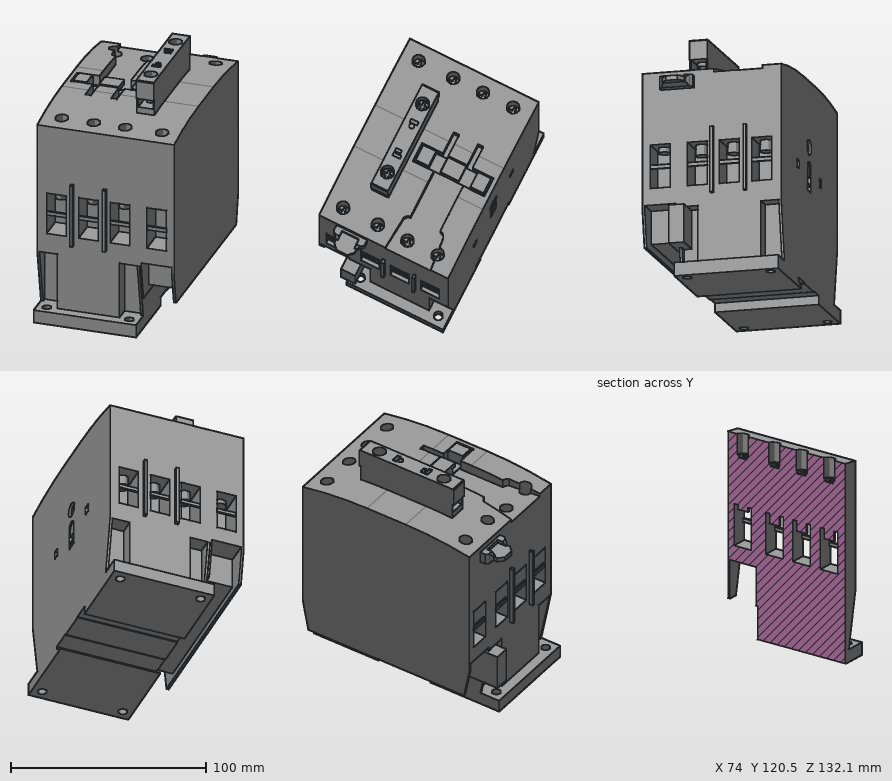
import cadquery as cq


HOUSING_WIDTH = 74.0
HOUSING_HALF_DEPTH = 51.75
HOUSING_TOP = 113.8
HOUSING_EDGE_TOP = 110.0
FLAT_HALF_DEPTH = 12.0

BASE_WIDTH = 55.4
BASE_HALF_DEPTH = 57.5
BASE_HEIGHT = 7.1
BASE_HOLE_DIAMETER = 4.6
BASE_HOLE_EDGE = 5.4
OVERHANG_BOTTOM = 22.4
OVERHANG_CHEEK_BOTTOM = 18.5
CHEEK_THICKNESS = 1.3
INNER_CHEEK_THICKNESS = 1.0
OVERHANG_RECESS_TOP = 40.0
OVERHANG_SLOPE_TOP = 36.0
OVERHANG_FOOT_HALF_DEPTH = 46.2
OVERHANG_RECESS_BACK = 40.0

CORNER_RECESS_BACK = 43.5
CORNER_RECESS_WIDTH = 9.6
CORNER_RECESS_TOP = 38.0
WEB_FOOT_HALF_DEPTH = 45.8

RAIL_DEPTH = 4.7
RAIL_PLAIN_Y = -17.5
RAIL_HOOK_Y = 19.6
RAIL_LIP_Y = 14.7
RAIL_LIP_THICKNESS = 0.6
RAIL_HOOK_FLOOR = 3.2
RAIL_PAD_HALF_DEPTH = 8.1
RAIL_PAD_HEIGHT = 0.5

POLE_XS = (10.4, 27.7, 44.7, 64.6)
SHORT_SCREW_POLE_X = POLE_XS[-1]
TERMINAL_SCREW_Y = 43.0
SCREW_BORE_DIAMETER = 6.6
SCREW_HEAD_DROP = 10.0
SCREW_TIP_DIAMETER = 6.3
SCREW_TIP_BOTTOM = 66.3
SHORT_SCREW_TIP_BOTTOM = 69.3
CROSS_LENGTH = 4.8
CROSS_WIDTH = 1.4
CROSS_DEPTH = 1.5
WINDOW_WIDTH = 10.6
WINDOW_BOTTOM = 48.9
WINDOW_TOP = 71.9
WINDOW_DEPTH = 14.0
CLAMP_BAR_BOTTOM = 59.3
CLAMP_BAR_TOP = 61.3
CLAMP_BAR_DEPTH = 1.0
CLAMP_BAR_SETBACK = 0.3

BARRIER_SPANS = ((18.4, 19.7), (35.9, 37.5))
BARRIER_BOTTOM = 44.3
BARRIER_TOP = 79.0
BARRIER_PROJECTION = 2.1

CHANNEL_CENTER_X = 23.0
CHANNEL_FLOOR = 108.3
CHANNEL_HALF_WIDTH = 8.5
CHANNEL_SHOULDER_HALF_WIDTH = 11.4
CHANNEL_MOUTH_HALF_WIDTH = 13.0
CHANNEL_NECK_Y = 31.8
CHANNEL_SHOULDER_Y = 33.9
CHANNEL_BEND_HALF_WIDTH = 10.4
CHANNEL_BEND_Y = 32.6
FRAME_HALF_WIDTH = 20.5
FRAME_FRONT_Y = -5.0
FRAME_BACK_Y = 5.5
FRAME_GROOVE_DEPTH = 1.0
PLATE_HALF_DEPTH = 4.45
PLATE_RISE = 0.4
SIDE_PLATE_INNER = 12.0
SIDE_PLATE_OUTER = 19.5
MIDDLE_PLATE_HALF_WIDTH = 5.3
MIDDLE_PLATE_THICKNESS = 2.4
MIDDLE_STEM_HALF_WIDTH = 2.8
WELL_FLOOR = CHANNEL_FLOOR - 0.3
LEG_WIDTH = 3.1
LEG_FRONT_Y = -17.4

AUX_LEFT = 46.0
AUX_RIGHT = 55.5
AUX_CENTER_X = (AUX_LEFT + AUX_RIGHT) / 2
AUX_TOP = 132.1
AUX_STEP_Z = 121.8
AUX_HALF_DEPTH = 29.3
AUX_STEP = 1.0
AUX_CHAMFER = 0.5
AUX_EMBED = 1.0
AUX_WINDOW_WIDTH = 8.0
AUX_WINDOW_BOTTOM = 116.6
AUX_WINDOW_DEPTH = 13.0
AUX_SCREW_Y = 20.0
AUX_BORE_DIAMETER = 6.9
AUX_BORE_DEPTH = 7.0
AUX_HEAD_DIAMETER = 6.2
AUX_HEAD_HEIGHT = 0.5
AUX_SCREW_COLLAR_BOTTOM = 119.7
AUX_SCREW_COLLAR_DIAMETER = 6.0
AUX_SCREW_SHANK_DIAMETER = 3.9
MARK_DEPTH = 0.4
AUX_MARKS = (
    (50.3, 10.1, 4.3, 1.7),
    (50.8, 7.5, 3.2, 1.7),
    (50.3, -9.5, 4.3, 1.9),
)
AUX_DOT = (50.5, -7.1)
AUX_DOT_DIAMETER = 2.7

SIDE_DISC_Z = 78.8
SIDE_DISC_DIAMETER = 7.9
SIDE_POCKET_DEPTH = 1.5
SIDE_LATCH_Y = 20.6
SIDE_LATCH_Z = 64.9
SIDE_LATCH_WIDTH = 3.6
SIDE_LATCH_HEIGHT = 4.2
SIDE_SLOT_WIDTH = 6.1
SIDE_SLOT_BOTTOM = 55.5
SIDE_SLOT_TOP = 71.0
SIDE_SLOT_SHALLOW_DEPTH = 0.7
SIDE_SLOT_DEEP_DEPTH = 5.0
SIDE_SLOT_DEEP_TOP = 63.4
SIDE_SLOT_BAR_BOTTOM = 58.5
SIDE_SLOT_BAR_TOP = 60.0

COIL_CENTER_X = 55.2
COIL_CENTER_Z = 103.7
COIL_HALF_WIDTH = 8.8
COIL_HALF_HEIGHT = 3.1
COIL_BLOCK_BACK = 56.2
COIL_CORNER = 1.4
COIL_TAPER_BACK = 58.2
COIL_TIP_Y = 63.0
COIL_TONGUE_HALF_WIDTH = 5.9
COIL_TONGUE_HALF_THICKNESS = 1.2
COIL_TONGUE_CORNER = 2.9
COIL_SLOT_HALF_WIDTH = 4.8
COIL_SLOT_FRONT = 53.2

RELEASE_LEFT = 50.0
RELEASE_RIGHT = 58.1
RELEASE_BACK = 58.3
RELEASE_BOTTOM = 17.4
RELEASE_TOP = 37.6

BOTH_ENDS = (-1, 1)


def box(x0, x1, y0, y1, z0, z1):
    """Box between two corners, whichever order each pair is given in."""
    size = (abs(x1 - x0), abs(y1 - y0), abs(z1 - z0))
    corner = cq.Vector(min(x0, x1), min(y0, y1), min(z0, z1))
    return cq.Workplane(obj=cq.Solid.makeBox(*size, corner))


def rod(x, y, z0, z1, diameter):
    """Vertical cylinder from z0 up to z1."""
    return cq.Workplane(obj=cq.Solid.makeCylinder(diameter / 2, z1 - z0, cq.Vector(x, y, z0)))


def cross(x, y, top):
    """Cross-shaped driver recess below a screw head."""
    half_length = CROSS_LENGTH / 2
    half_width = CROSS_WIDTH / 2
    bottom = top - CROSS_DEPTH
    along_x = box(x - half_length, x + half_length, y - half_width, y + half_width, bottom, top)
    along_y = box(x - half_width, x + half_width, y - half_length, y + half_length, bottom, top)
    return along_x.union(along_y)


def crown_height(y):
    """Height of the crowned top at a distance y from the centre plane."""
    run = HOUSING_HALF_DEPTH - FLAT_HALF_DEPTH
    drop = HOUSING_TOP - HOUSING_EDGE_TOP
    radius = (run**2 + drop**2) / (2 * drop)
    return HOUSING_TOP - radius + (radius**2 - (abs(y) - FLAT_HALF_DEPTH) ** 2) ** 0.5


def make_housing():
    """Crowned housing with its base flange, extruded along X."""
    crown_mid_y = (FLAT_HALF_DEPTH + HOUSING_HALF_DEPTH) / 2
    housing = (
        cq.Workplane("YZ")
        .moveTo(-HOUSING_HALF_DEPTH, 0)
        .lineTo(-HOUSING_HALF_DEPTH, HOUSING_EDGE_TOP)
        .threePointArc((-crown_mid_y, crown_height(crown_mid_y)), (-FLAT_HALF_DEPTH, HOUSING_TOP))
        .lineTo(FLAT_HALF_DEPTH, HOUSING_TOP)
        .threePointArc((crown_mid_y, crown_height(crown_mid_y)), (HOUSING_HALF_DEPTH, HOUSING_EDGE_TOP))
        .lineTo(HOUSING_HALF_DEPTH, 0)
        .close()
        .extrude(HOUSING_WIDTH)
    )
    cheek_left = HOUSING_WIDTH - CHEEK_THICKNESS
    inner_cheek_right = BASE_WIDTH + INNER_CHEEK_THICKNESS
    d = HOUSING_HALF_DEPTH
    housing = housing.cut(box(BASE_WIDTH, HOUSING_WIDTH, -d, d, 0, OVERHANG_CHEEK_BOTTOM))
    housing = housing.cut(box(inner_cheek_right, cheek_left, -d, d, OVERHANG_CHEEK_BOTTOM, OVERHANG_BOTTOM))
    return housing.union(box(0, BASE_WIDTH, -BASE_HALF_DEPTH, BASE_HALF_DEPTH, 0, BASE_HEIGHT))


def slope_wedge(x0, x1, front, foot, top):
    """Triangular wedge that slopes an end face from its top back to a foot at base level."""
    profile = [(front, top), (front, BASE_HEIGHT), (foot, BASE_HEIGHT)]
    return cq.Workplane("YZ", origin=(x0, 0, 0)).polyline(profile).close().extrude(x1 - x0)


def cut_lower_end(body, end):
    """Corner recesses, sloped webs and overhang recess at one end (end = -1 or 1)."""
    front = end * HOUSING_HALF_DEPTH
    recess_back = end * CORNER_RECESS_BACK
    left_inner = CHEEK_THICKNESS + CORNER_RECESS_WIDTH
    right_outer = BASE_WIDTH - CHEEK_THICKNESS
    right_inner = right_outer - CORNER_RECESS_WIDTH
    for x0, x1 in ((CHEEK_THICKNESS, left_inner), (right_inner, right_outer)):
        body = body.cut(box(x0, x1, recess_back, front, BASE_HEIGHT, CORNER_RECESS_TOP))

    cheek_left = HOUSING_WIDTH - CHEEK_THICKNESS
    inner_cheek_right = BASE_WIDTH + INNER_CHEEK_THICKNESS
    overhang_back = end * OVERHANG_RECESS_BACK
    body = body.cut(
        box(inner_cheek_right, cheek_left, overhang_back, front, OVERHANG_BOTTOM, OVERHANG_RECESS_TOP)
    )

    web_foot = end * WEB_FOOT_HALF_DEPTH
    overhang_foot = end * OVERHANG_FOOT_HALF_DEPTH
    body = body.cut(slope_wedge(0, CHEEK_THICKNESS, front, web_foot, CORNER_RECESS_TOP))
    body = body.cut(slope_wedge(right_outer, BASE_WIDTH, front, web_foot, CORNER_RECESS_TOP))
    return body.cut(slope_wedge(BASE_WIDTH, HOUSING_WIDTH, front, overhang_foot, OVERHANG_SLOPE_TOP))


def cut_base(body):
    """Mounting holes and the hooked DIN rail notch."""
    hole_y = BASE_HALF_DEPTH - BASE_HOLE_EDGE
    for x in (BASE_HOLE_EDGE, BASE_WIDTH - BASE_HOLE_EDGE):
        for end in BOTH_ENDS:
            body = body.cut(rod(x, end * hole_y, 0, BASE_HEIGHT, BASE_HOLE_DIAMETER))
    notch = (
        cq.Workplane("YZ")
        .polyline(
            [
                (RAIL_PLAIN_Y, 0),
                (RAIL_LIP_Y, 0),
                (RAIL_LIP_Y, RAIL_LIP_THICKNESS),
                (RAIL_HOOK_Y, RAIL_HOOK_FLOOR),
                (RAIL_HOOK_Y, RAIL_DEPTH),
                (RAIL_PLAIN_Y, RAIL_DEPTH),
            ]
        )
        .close()
        .extrude(BASE_WIDTH)
    )
    pad_bottom = RAIL_DEPTH - RAIL_PAD_HEIGHT
    pad = box(0, BASE_WIDTH, -RAIL_PAD_HALF_DEPTH, RAIL_PAD_HALF_DEPTH, pad_bottom, RAIL_DEPTH)
    return body.cut(notch).union(pad)


def add_terminal(body, x, end):
    """Screw bore, driver cross, wiring window, screw tip and clamp bar of one terminal."""
    y = end * TERMINAL_SCREW_Y
    head_top = HOUSING_EDGE_TOP - SCREW_HEAD_DROP
    body = body.cut(rod(x, y, head_top, HOUSING_TOP, SCREW_BORE_DIAMETER))
    body = body.cut(cross(x, y, head_top))

    front = end * HOUSING_HALF_DEPTH
    left = x - WINDOW_WIDTH / 2
    right = x + WINDOW_WIDTH / 2
    body = body.cut(box(left, right, front, front - end * WINDOW_DEPTH, WINDOW_BOTTOM, WINDOW_TOP))
    tip_bottom = SHORT_SCREW_TIP_BOTTOM if x == SHORT_SCREW_POLE_X else SCREW_TIP_BOTTOM
    body = body.union(rod(x, y, tip_bottom, WINDOW_TOP, SCREW_TIP_DIAMETER))
    bar_front = front - end * CLAMP_BAR_SETBACK
    bar_back = bar_front - end * CLAMP_BAR_DEPTH
    return body.union(box(left, right, bar_front, bar_back, CLAMP_BAR_BOTTOM, CLAMP_BAR_TOP))


def add_barriers(body, end):
    """Phase barriers standing out of one end face."""
    front = end * HOUSING_HALF_DEPTH
    tip = front + end * BARRIER_PROJECTION
    for x0, x1 in BARRIER_SPANS:
        body = body.union(box(x0, x1, front, tip, BARRIER_BOTTOM, BARRIER_TOP))
    return body


def add_indicator(body):
    """Channel open at +Y, framed plates and the two leg slots in the top."""
    cx = CHANNEL_CENTER_X
    channel_height = HOUSING_TOP - CHANNEL_FLOOR
    bend_x = CHANNEL_BEND_HALF_WIDTH
    bend_y = CHANNEL_BEND_Y
    channel = (
        cq.Workplane("XY", origin=(cx, 0, CHANNEL_FLOOR))
        .moveTo(-CHANNEL_HALF_WIDTH, -PLATE_HALF_DEPTH)
        .lineTo(-CHANNEL_HALF_WIDTH, CHANNEL_NECK_Y)
        .threePointArc((-bend_x, bend_y), (-CHANNEL_SHOULDER_HALF_WIDTH, CHANNEL_SHOULDER_Y))
        .lineTo(-CHANNEL_MOUTH_HALF_WIDTH, HOUSING_HALF_DEPTH)
        .lineTo(CHANNEL_MOUTH_HALF_WIDTH, HOUSING_HALF_DEPTH)
        .lineTo(CHANNEL_SHOULDER_HALF_WIDTH, CHANNEL_SHOULDER_Y)
        .threePointArc((bend_x, bend_y), (CHANNEL_HALF_WIDTH, CHANNEL_NECK_Y))
        .lineTo(CHANNEL_HALF_WIDTH, -PLATE_HALF_DEPTH)
        .close()
        .extrude(channel_height)
    )
    groove_floor = HOUSING_TOP - FRAME_GROOVE_DEPTH
    frame_left = cx - FRAME_HALF_WIDTH
    frame_right = cx + FRAME_HALF_WIDTH
    body = body.cut(box(frame_left, frame_right, FRAME_FRONT_Y, FRAME_BACK_Y, groove_floor, HOUSING_TOP))
    body = body.cut(channel)

    plate_front = -PLATE_HALF_DEPTH
    plate_back = PLATE_HALF_DEPTH
    plate_top = HOUSING_TOP + PLATE_RISE
    for side in BOTH_ENDS:
        inner = cx + side * SIDE_PLATE_INNER
        outer = cx + side * SIDE_PLATE_OUTER
        stem_edge = cx + side * MIDDLE_STEM_HALF_WIDTH
        middle_edge = cx + side * MIDDLE_PLATE_HALF_WIDTH
        leg_outer = cx + side * CHANNEL_HALF_WIDTH
        leg_inner = leg_outer - side * LEG_WIDTH
        body = body.cut(box(middle_edge, inner, FRAME_FRONT_Y, FRAME_BACK_Y, CHANNEL_FLOOR, HOUSING_TOP))
        body = body.cut(box(stem_edge, inner, plate_front, plate_back, WELL_FLOOR, HOUSING_TOP))
        body = body.cut(box(leg_inner, leg_outer, LEG_FRONT_Y, plate_front, CHANNEL_FLOOR, HOUSING_TOP))
        body = body.union(box(inner, outer, plate_front, plate_back, CHANNEL_FLOOR, plate_top))
    stem_left = cx - MIDDLE_STEM_HALF_WIDTH
    stem_right = cx + MIDDLE_STEM_HALF_WIDTH
    body = body.union(box(stem_left, stem_right, plate_front, plate_back, CHANNEL_FLOOR, plate_top))
    middle_left = cx - MIDDLE_PLATE_HALF_WIDTH
    middle_right = cx + MIDDLE_PLATE_HALF_WIDTH
    plate_bottom = plate_top - MIDDLE_PLATE_THICKNESS
    return body.union(box(middle_left, middle_right, plate_front, plate_back, plate_bottom, plate_top))


def make_aux_block():
    """Auxiliary contact block with stepped ends, screws, windows and top marks."""
    lower_half = AUX_HALF_DEPTH - AUX_STEP
    root = crown_height(AUX_HALF_DEPTH) - AUX_EMBED
    block = box(AUX_LEFT, AUX_RIGHT, -AUX_HALF_DEPTH, AUX_HALF_DEPTH, AUX_STEP_Z, AUX_TOP)
    block = block.faces(">Z").edges("|X").chamfer(AUX_CHAMFER)
    block = block.union(box(AUX_LEFT, AUX_RIGHT, -lower_half, lower_half, root, AUX_STEP_Z))

    x = AUX_CENTER_X
    window_left = x - AUX_WINDOW_WIDTH / 2
    window_right = x + AUX_WINDOW_WIDTH / 2
    bore_bottom = AUX_TOP - AUX_BORE_DEPTH
    head_top = bore_bottom + AUX_HEAD_HEIGHT
    for end in BOTH_ENDS:
        y = end * AUX_SCREW_Y
        window_front = end * lower_half
        window_back = window_front - end * AUX_WINDOW_DEPTH
        block = block.cut(
            box(window_left, window_right, window_front, window_back, AUX_WINDOW_BOTTOM, AUX_STEP_Z)
        )
        block = block.union(rod(x, y, AUX_SCREW_COLLAR_BOTTOM, AUX_STEP_Z, AUX_SCREW_COLLAR_DIAMETER))
        block = block.union(rod(x, y, AUX_WINDOW_BOTTOM, AUX_STEP_Z, AUX_SCREW_SHANK_DIAMETER))
        block = block.cut(rod(x, y, bore_bottom, AUX_TOP, AUX_BORE_DIAMETER))
        block = block.union(rod(x, y, bore_bottom, head_top, AUX_HEAD_DIAMETER))
        block = block.cut(cross(x, y, head_top))

    mark_bottom = AUX_TOP - MARK_DEPTH
    for mark_x, mark_y, size_x, size_y in AUX_MARKS:
        half_x = size_x / 2
        half_y = size_y / 2
        block = block.cut(
            box(mark_x - half_x, mark_x + half_x, mark_y - half_y, mark_y + half_y, mark_bottom, AUX_TOP)
        )
    return block.cut(rod(*AUX_DOT, mark_bottom, AUX_TOP, AUX_DOT_DIAMETER))


def cut_side_wall(body):
    """Round pocket, latch pockets and the barred slot in the -X wall."""
    disc = cq.Workplane("YZ").center(0, SIDE_DISC_Z).circle(SIDE_DISC_DIAMETER / 2)
    body = body.cut(disc.extrude(SIDE_POCKET_DEPTH))
    latches = (
        cq.Workplane("YZ")
        .pushPoints([(end * SIDE_LATCH_Y, SIDE_LATCH_Z) for end in BOTH_ENDS])
        .rect(SIDE_LATCH_WIDTH, SIDE_LATCH_HEIGHT)
    )
    body = body.cut(latches.extrude(SIDE_POCKET_DEPTH))

    half = SIDE_SLOT_WIDTH / 2
    slot = (
        cq.Workplane("YZ")
        .moveTo(-half, SIDE_SLOT_BOTTOM)
        .lineTo(-half, SIDE_SLOT_TOP - half)
        .threePointArc((0, SIDE_SLOT_TOP), (half, SIDE_SLOT_TOP - half))
        .lineTo(half, SIDE_SLOT_BOTTOM)
        .close()
        .extrude(SIDE_SLOT_SHALLOW_DEPTH)
    )
    body = body.cut(slot)
    for z0, z1 in ((SIDE_SLOT_BOTTOM, SIDE_SLOT_BAR_BOTTOM), (SIDE_SLOT_BAR_TOP, SIDE_SLOT_DEEP_TOP)):
        body = body.cut(box(0, SIDE_SLOT_DEEP_DEPTH, -half, half, z0, z1))
    return body


def make_coil_terminal():
    """Chamfered holder, tapered nose and flat tongue of the coil terminal."""
    cx = COIL_CENTER_X
    cz = COIL_CENTER_Z
    holder = box(
        cx - COIL_HALF_WIDTH,
        cx + COIL_HALF_WIDTH,
        HOUSING_HALF_DEPTH,
        COIL_BLOCK_BACK,
        cz - COIL_HALF_HEIGHT,
        cz + COIL_HALF_HEIGHT,
    )
    holder = holder.faces(">Y").edges("|Z").chamfer(COIL_CORNER)
    nose = (
        cq.Workplane("XZ", origin=(cx, COIL_BLOCK_BACK, cz))
        .rect(2 * (COIL_HALF_WIDTH - COIL_CORNER), 2 * COIL_HALF_HEIGHT)
        .workplane(offset=COIL_BLOCK_BACK - COIL_TAPER_BACK)
        .rect(2 * COIL_TONGUE_HALF_WIDTH, 2 * COIL_TONGUE_HALF_THICKNESS)
        .loft()
    )
    slot_left = cx - COIL_SLOT_HALF_WIDTH
    slot_right = cx + COIL_SLOT_HALF_WIDTH
    tongue_top = cz + COIL_TONGUE_HALF_THICKNESS
    slot = box(slot_left, slot_right, COIL_SLOT_FRONT, COIL_TIP_Y, tongue_top, cz + COIL_HALF_HEIGHT)
    tongue = box(
        cx - COIL_TONGUE_HALF_WIDTH,
        cx + COIL_TONGUE_HALF_WIDTH,
        COIL_BLOCK_BACK,
        COIL_TIP_Y,
        cz - COIL_TONGUE_HALF_THICKNESS,
        tongue_top,
    )
    tongue = tongue.faces(">Y").edges("|Z").chamfer(COIL_TONGUE_CORNER)
    return holder.union(nose).union(tongue).cut(slot)


def make_release_latch():
    """Rail release latch, rooted at the back wall of the overhang recess."""
    return box(
        RELEASE_LEFT, RELEASE_RIGHT, OVERHANG_RECESS_BACK, RELEASE_BACK, RELEASE_BOTTOM, RELEASE_TOP
    )


def make_contactor():
    body = cut_base(make_housing())
    for end in BOTH_ENDS:
        body = cut_lower_end(body, end)
    body = add_indicator(body)
    for end in BOTH_ENDS:
        for x in POLE_XS:
            body = add_terminal(body, x, end)
        body = add_barriers(body, end)
    body = cut_side_wall(body)
    for attachment in (make_aux_block(), make_coil_terminal(), make_release_latch()):
        body = body.union(attachment)
    return body


result = make_contactor()